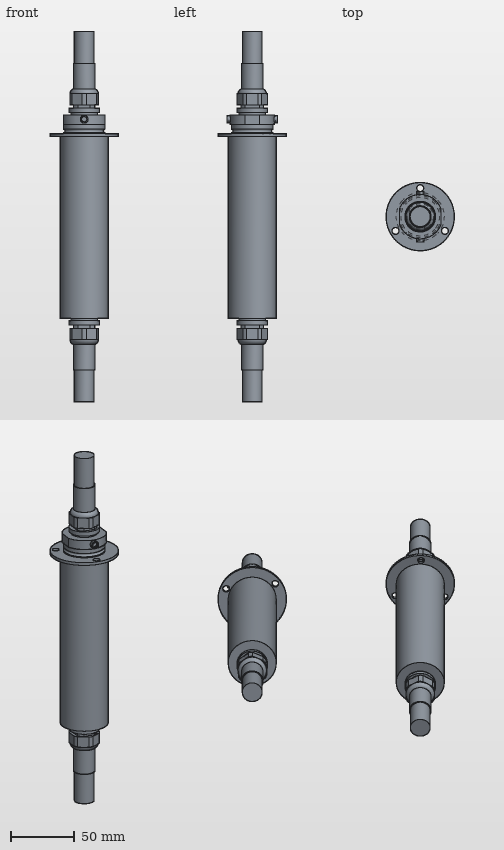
import cadquery as cq
import math

overall_length = 292.5
half_length = overall_length / 2

housing_end = 80.5
tube_diameter = 38.0
flange_diameter = 54.0
flange_top = 65.5
flange_thickness = 2.3
flange_hole_diameter = 5.3
flange_hole_circle = 22.5
flange_hole_count = 3
first_hole_angle = 90
collar_diameter = 33.0
collar_bottom = 69.0
groove_height = 2.5
head_diameter = 35.0
head_bottom = 72.8

pin_span = 40.0
pin_reach = pin_span / 2
pin_diameter = 6.0
socket_diameter = 4.0
socket_depth = 1.8
pin_height = 77.0

shoulder_diameter = 21.0
shoulder_height = 1.8
ring_diameter = 24.3
ring_height = 3.5
neck_diameter = 20.5
neck_width_x = 17.0
neck_width_y = 18.0
neck_height = 2.5
nut_across_flats = 22.5
nut_height = 8.8
dome_radius = 4.0
sleeve_diameter = 17.3
cable_diameter = 15.8
cable_length = 25.0


def disc(diameter, bottom, top):
    """Cylinder on the Z axis between two heights."""
    return cq.Workplane("XY").workplane(offset=bottom).circle(diameter / 2).extrude(top - bottom)


def flange():
    """Mounting flange with evenly spaced through holes."""
    plate = disc(flange_diameter, flange_top - flange_thickness, flange_top)
    holes = (
        cq.Workplane("XY")
        .workplane(offset=flange_top - flange_thickness)
        .polarArray(flange_hole_circle, first_hole_angle, 360, flange_hole_count)
        .circle(flange_hole_diameter / 2)
        .extrude(flange_thickness)
    )
    return plate.cut(holes)


def collar():
    """Round collar with a half-round groove just above the flange."""
    collar_radius = collar_diameter / 2
    groove_radius = groove_height / 2
    groove = (
        cq.Workplane("XZ")
        .center(collar_radius, collar_bottom - groove_radius)
        .circle(groove_radius)
        .revolve(360, (-collar_radius, 0), (-collar_radius, 1))
    )
    return disc(collar_diameter, flange_top, head_bottom).cut(groove)


def collar_head():
    """Round head with two flats that line up with the collar below."""
    head_height = housing_end - head_bottom
    flats = (
        cq.Workplane("XY")
        .workplane(offset=head_bottom)
        .rect(collar_diameter, head_diameter)
        .extrude(head_height)
    )
    return disc(head_diameter, head_bottom, housing_end).intersect(flats)


def pin_axis_rod(diameter, reach):
    """Rod through the collar head along Y, reaching equally far to both sides."""
    return cq.Workplane("XZ", origin=(0, 0, pin_height)).circle(diameter / 2).extrude(reach, both=True)


def head_pins():
    """Pins on both sides of the head, with a blind round socket in each tip."""
    socket_floor = pin_reach - socket_depth
    sockets = pin_axis_rod(socket_diameter, pin_reach).cut(pin_axis_rod(socket_diameter, socket_floor))
    return pin_axis_rod(pin_diameter, pin_reach).cut(sockets)


def make_housing():
    """Tube, flange, collar and pins as one solid."""
    body = disc(tube_diameter, -housing_end, flange_top - flange_thickness)
    for section in (flange(), collar(), collar_head(), head_pins()):
        body = body.union(section)
    return body


def rounded_dome(bottom):
    """Cap whose side curves inward from the nut flats in a quarter circle."""
    base_radius = nut_across_flats / 2
    top_radius = base_radius - dome_radius
    arc_offset = dome_radius * math.sin(math.radians(45))
    return (
        cq.Workplane("XZ")
        .moveTo(0, bottom)
        .lineTo(base_radius, bottom)
        .threePointArc((top_radius + arc_offset, bottom + arc_offset), (top_radius, bottom + dome_radius))
        .lineTo(0, bottom + dome_radius)
        .close()
        .revolve(360, (0, 0), (0, 1))
    )


def make_gland():
    """Upper gland with its cable, standing on the top face of the housing."""
    ring_bottom = housing_end + shoulder_height
    neck_bottom = ring_bottom + ring_height
    nut_bottom = neck_bottom + neck_height
    dome_bottom = nut_bottom + nut_height
    cable_bottom = half_length - cable_length

    shoulder = disc(shoulder_diameter, housing_end, ring_bottom)
    ring = disc(ring_diameter, ring_bottom, neck_bottom)
    neck_flats = (
        cq.Workplane("XY")
        .workplane(offset=neck_bottom)
        .rect(neck_width_x, neck_width_y)
        .extrude(neck_height)
    )
    neck = disc(neck_diameter, neck_bottom, nut_bottom).intersect(neck_flats)
    hexagon = (
        cq.Workplane("XY")
        .workplane(offset=nut_bottom)
        .polygon(6, nut_across_flats, circumscribed=True)
        .extrude(nut_height)
    )
    nut = disc(ring_diameter, nut_bottom, dome_bottom).intersect(hexagon)
    dome = rounded_dome(dome_bottom)
    sleeve = disc(sleeve_diameter, dome_bottom, cable_bottom)
    cable = disc(cable_diameter, cable_bottom, half_length)

    gland = shoulder
    for section in (ring, neck, nut, dome, sleeve, cable):
        gland = gland.union(section)
    return gland


housing = make_housing()
upper_gland = make_gland()
lower_gland = upper_gland.mirror("XY")

result = cq.Compound.makeCompound([housing.val(), upper_gland.val(), lower_gland.val()])